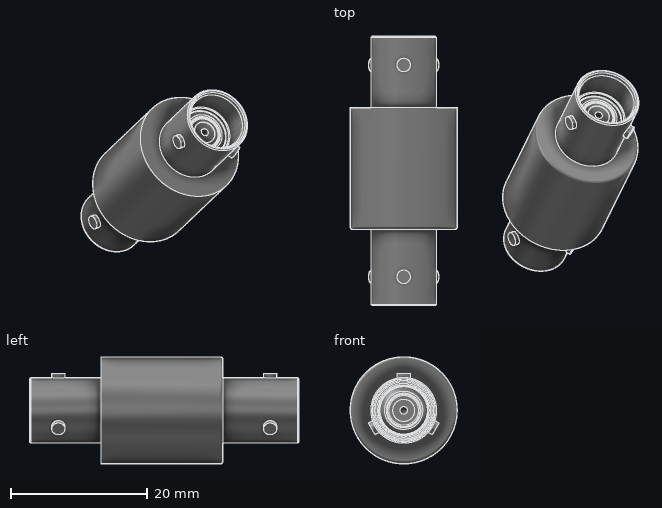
import cadquery as cq
import math

total_length = 39.62
half_length = total_length / 2
body_front = -8.65
body_rear = 9.3
body_radius = 7.9
body_fillet = 0.4

barrel_radius = 4.85
barrel_chamfer = 0.2
lip_mouth_radius = 4.6
lip_neck_radius = 4.4
lip_neck_depth = 0.2
bore_mouth_radius = 4.2
bore_mouth_depth = 0.65
bore_end_radius = 3.95
bore_depth = 4.7

recess_floor_radius = 3.6
recess_mouth_radius = 3.75
recess_depth = 0.5

lug_radius = 1.0
lug_tip_radius = 5.43
lug_offset = 15.57
lug_root_radius = 4.45
lug_count = 3
lug_spacing = 360 / lug_count

collar_base_radius = 3.5
collar_tip_radius = 2.8
collar_bore_radius = 2.55
collar_height = 0.28

insulator_radius = 2.38
insulator_chamfer = 0.2
insulator_height = 0.28
contact_radius = 1.62
contact_height = 0.4
contact_hole_radius = 0.55
contact_hole_depth = 2.0
drill_point_angle = 118.0


def revolve_about_y(points):
    """Revolve a closed (radius, y) outline fully around the Y axis."""
    return cq.Workplane("XY").polyline(points).close().revolve(360, (0, 0, 0), (0, 1, 0))


def make_body():
    """Central sleeve, rounded at its front rim only."""
    body = cq.Workplane("XZ", origin=(0, body_rear, 0)).circle(body_radius).extrude(body_rear - body_front)
    return body.faces("<Y").edges().fillet(body_fillet)


def make_barrels():
    """Full-length cylinder that forms both bayonet barrels."""
    barrels = cq.Workplane("XZ", origin=(0, half_length, 0)).circle(barrel_radius).extrude(total_length)
    return barrels.faces("<Y or >Y").edges().chamfer(barrel_chamfer)


def make_lugs(y):
    """Three radial lugs around the barrel, the first pointing up."""
    lug = (
        cq.Workplane("XY", origin=(0, y, lug_root_radius))
        .circle(lug_radius)
        .extrude(lug_tip_radius - lug_root_radius)
    )
    lugs = lug
    for index in range(1, lug_count):
        lugs = lugs.union(lug.rotate((0, 0, 0), (0, 1, 0), index * lug_spacing))
    return lugs


def make_front_cavity():
    """Stepped socket in the front end, open around the collar, insulator and contact."""
    mouth = -half_length
    step = mouth + bore_depth
    floor = step + recess_depth
    insulator_tip = floor - insulator_height
    contact_tip = floor - contact_height
    hole_end = contact_tip + contact_hole_depth
    drill_point = contact_hole_radius / math.tan(math.radians(drill_point_angle / 2))
    return revolve_about_y([
        (0, mouth),
        (lip_mouth_radius, mouth),
        (lip_neck_radius, mouth + lip_neck_depth),
        (bore_mouth_radius, mouth + bore_mouth_depth),
        (bore_end_radius, step),
        (recess_mouth_radius, step),
        (recess_floor_radius, floor),
        (collar_base_radius, floor),
        (collar_tip_radius, floor - collar_height),
        (collar_bore_radius, floor - collar_height),
        (collar_bore_radius, floor),
        (insulator_radius, floor),
        (insulator_radius, insulator_tip + insulator_chamfer),
        (insulator_radius - insulator_chamfer, insulator_tip),
        (contact_radius, insulator_tip),
        (contact_radius, contact_tip),
        (contact_hole_radius, contact_tip),
        (contact_hole_radius, hole_end),
        (0, hole_end + drill_point),
    ])


front_cavity = make_front_cavity()
result = (
    make_body()
    .union(make_barrels())
    .union(make_lugs(-lug_offset))
    .union(make_lugs(lug_offset))
    .cut(front_cavity)
    .cut(front_cavity.mirror("XZ"))
)